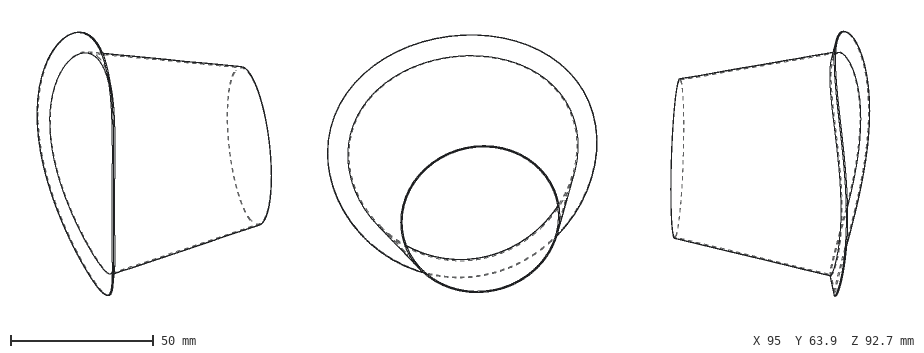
import cadquery as cq
import math

sheet_thickness = 0.5

small_end_radius = 28.0
taper = 0.206

mouth_depth = 54.1
mouth_curve_radius = 123.5

overall_width = 95.0
overall_height = 92.7
overall_depth = 63.9
rim_depth = 55.7

rim_half_width = overall_width / 2
rim_half_height = overall_height / 2

CURVE_POINTS = 48


def trimmed_wall_point(angle, end_radius, shallow_depth):
    """Return (radius, depth) where the cone meets the mouth cylinder at this angle."""
    axis_depth = shallow_depth + mouth_curve_radius
    radius_at_axis = end_radius + taper * axis_depth
    a = 1 + (taper * math.cos(angle)) ** 2
    c = radius_at_axis ** 2 - (taper * mouth_curve_radius) ** 2
    radius = (radius_at_axis - math.sqrt(radius_at_axis ** 2 - a * c)) / a
    return radius, (radius - end_radius) / taper


def small_end_outer(angle):
    return small_end_radius, 0.0


def small_end_inner(angle):
    return small_end_radius - sheet_thickness, 0.0


def wall_inner_end(angle):
    return trimmed_wall_point(
        angle, small_end_radius - sheet_thickness, mouth_depth + sheet_thickness)


def flange_root_front(angle):
    return trimmed_wall_point(angle, small_end_radius, mouth_depth + sheet_thickness)


def flange_root_back(angle):
    return trimmed_wall_point(angle, small_end_radius, mouth_depth)


def rim_back(angle):
    radius = 1 / math.hypot(math.cos(angle) / rim_half_width, math.sin(angle) / rim_half_height)
    drop = overall_depth - sheet_thickness - rim_depth
    bend_radius = (rim_half_width ** 2 + drop ** 2) / (2 * drop)
    x = radius * math.cos(angle)
    return radius, rim_depth + bend_radius - math.sqrt(bend_radius ** 2 - x ** 2)


def rim_front(angle):
    """Offset the back of the rim by the sheet thickness, square to the flange."""
    root_radius, root_depth = flange_root_back(angle)
    radius, depth = rim_back(angle)
    slope = math.atan2(depth - root_depth, radius - root_radius)
    return radius - sheet_thickness * math.sin(slope), depth + sheet_thickness * math.cos(slope)


def closed_curve(section_point):
    """Closed spline around Y through the points given by section_point(angle)."""
    points = []
    for i in range(CURVE_POINTS):
        angle = 2 * math.pi * i / CURVE_POINTS
        radius, depth = section_point(angle)
        points.append(cq.Vector(radius * math.cos(angle), -depth, radius * math.sin(angle)))
    parameters = [i / CURVE_POINTS for i in range(CURVE_POINTS + 1)]
    return cq.Edge.makeSpline(points, periodic=True, parameters=parameters)


section_corners = [
    small_end_outer,
    flange_root_back,
    rim_back,
    rim_front,
    flange_root_front,
    wall_inner_end,
    small_end_inner,
]
curves = [closed_curve(corner) for corner in section_corners]

faces = []
for i, curve in enumerate(curves):
    next_curve = curves[(i + 1) % len(curves)]
    faces.append(cq.Face.makeRuledSurface(curve, next_curve))

solid = cq.Solid.makeSolid(cq.Shell.makeShell(faces))
result = cq.Workplane("XY").newObject([solid.fix()])